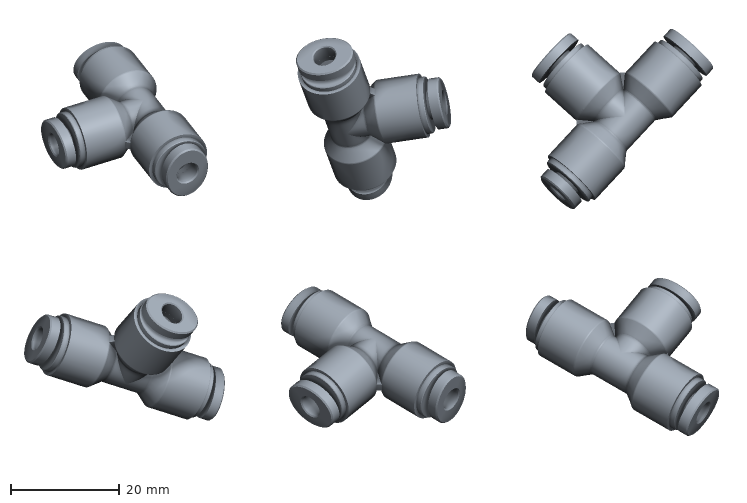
import cadquery as cq

HEAD_TIP = 18.5
HEAD_BACK = 16.5
COLLAR_END = 15.6
BODY_END = 14.5
CONE_LARGE_END = 6.5
CONE_SMALL_END = 3.95

BODY_DIAMETER = 11.9
NECK_DIAMETER = 8.1
BLEND_RADIUS = 0.45
SEAM_ANGLE = 45

WEB_THICKNESS = 1.5
WEB_REACH = 6.65

COLLAR_DIAMETER = 10.6
COLLAR_BORE_DIAMETER = 4.18
COLLAR_CHAMFER = 0.1

STEM_DIAMETER = 5.5
STEM_ROOT_FILLET = 0.07
HEAD_MAJOR = 10.8
HEAD_MINOR = 8.62
HEAD_CHAMFER = 0.25
SLEEVE_BORE_DIAMETER = 4.2
BORE_CHAMFER = 0.22

PORTS = [
    {"axis": (-1, 0, 0), "head_long_side": (0, 1, 0)},
    {"axis": (1, 0, 0), "head_long_side": (0, 0, 1)},
    {"axis": (0, -1, 0), "head_long_side": (1, 0, 0)},
]


def place(shape, port):
    """Turn a shape modelled along +Z onto the axis of a port."""
    plane = cq.Plane(origin=(0, 0, 0), xDir=port["head_long_side"], normal=port["axis"])
    return cq.Workplane(obj=shape.val().moved(cq.Location(plane)))


def make_body_arm():
    """Revolved arm: neck, blended cone and port cylinder."""
    body_radius = BODY_DIAMETER / 2
    neck_radius = NECK_DIAMETER / 2
    arm = (
        cq.Workplane("XZ")
        .moveTo(0, 0)
        .lineTo(neck_radius, 0)
        .lineTo(neck_radius, CONE_SMALL_END)
        .lineTo(body_radius, CONE_LARGE_END)
        .lineTo(body_radius, BODY_END)
        .lineTo(0, BODY_END)
        .close()
        .revolve(360, (0, 0, 0), (0, 1, 0))
    )
    arm = arm.faces("%CONE").edges("%CIRCLE").fillet(BLEND_RADIUS)
    return arm.rotate((0, 0, 0), (0, 0, 1), SEAM_ANGLE)


def make_corner_web(side):
    """Flat web filling the corner between the branch and the run arm on one side (+1 or -1 in X)."""
    body_radius = BODY_DIAMETER / 2
    return (
        cq.Workplane("XY")
        .polyline([
            (0, 0),
            (side * WEB_REACH, 0),
            (side * WEB_REACH, -body_radius),
            (side * body_radius, -WEB_REACH),
            (0, -WEB_REACH),
        ])
        .close()
        .extrude(WEB_THICKNESS / 2, both=True)
    )


def make_body():
    """Three arms joined at the crossing of the axes, with a web in each branch corner."""
    body = place(make_body_arm(), PORTS[0])
    for port in PORTS[1:]:
        body = body.union(place(make_body_arm(), port))
    for side in (-1, 1):
        body = body.union(make_corner_web(side))
    return body


def make_port_disc(diameter, start, end):
    """Round disc on the port axis between two distances."""
    return cq.Workplane("XY").workplane(offset=start).circle(diameter / 2).extrude(end - start)


def make_collar():
    """Ring seated on the end face of a port, with a hole that carries on the sleeve bore."""
    collar = make_port_disc(COLLAR_DIAMETER, BODY_END, COLLAR_END)
    collar = collar.faces(">Z").edges().chamfer(COLLAR_CHAMFER)
    return collar.cut(make_port_disc(COLLAR_BORE_DIAMETER, BODY_END, COLLAR_END))


def make_sleeve():
    """Release sleeve seated on the collar: round stem, oval head, tube bore with a chamfered mouth."""
    head = (
        cq.Workplane("XY")
        .workplane(offset=HEAD_BACK)
        .ellipse(HEAD_MAJOR / 2, HEAD_MINOR / 2)
        .extrude(HEAD_TIP - HEAD_BACK)
    )
    head = head.faces(">Z").edges().chamfer(HEAD_CHAMFER)
    sleeve = head.union(make_port_disc(STEM_DIAMETER, COLLAR_END, HEAD_BACK))
    head_back_face = sleeve.faces("<Z[1]")
    sleeve = head_back_face.edges("%CIRCLE").fillet(STEM_ROOT_FILLET)
    sleeve = sleeve.cut(make_port_disc(SLEEVE_BORE_DIAMETER, COLLAR_END, HEAD_TIP))
    bore_mouth = sleeve.faces(">Z").edges("%CIRCLE")
    return bore_mouth.chamfer(BORE_CHAMFER)


body = make_body()
collars = [place(make_collar(), port) for port in PORTS]
sleeves = [place(make_sleeve(), port) for port in PORTS]

result = cq.Compound.makeCompound([
    *body.vals(),
    *[collar.val() for collar in collars],
    *[sleeve.val() for sleeve in sleeves],
])